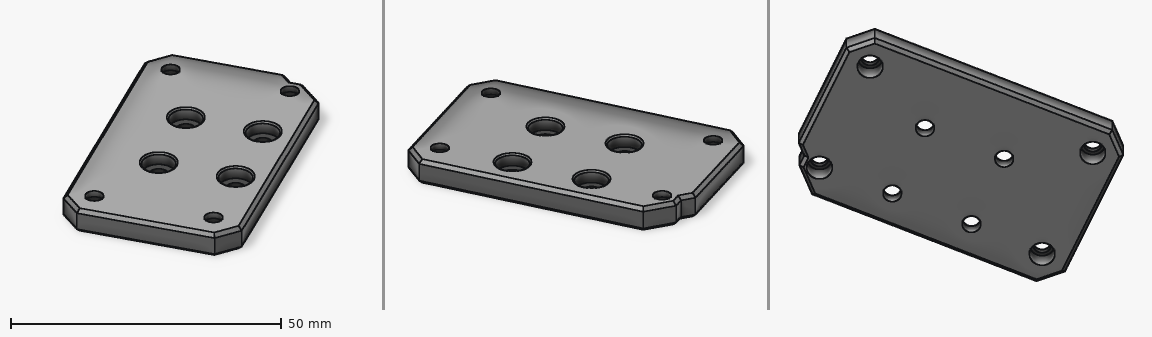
import cadquery as cq

width = 34.8
length = 56.0
thickness = 5.0
corner_cut = 4.0
edge_chamfer = 0.7

step_depth = 2.0
step_start_x = 8.5
step_end_x = 12.75

corner_hole_diameter = 3.4
corner_bore_diameter = 4.7
corner_bore_depth = 3.7
corner_hole_spacing_x = 23.25
corner_hole_spacing_y = 45.0
corner_hole_center_x = -0.2

screw_hole_diameter = 3.4
counterbore_diameter = 6.4
counterbore_depth = 2.5
counterbore_chamfer = 0.35
screw_spacing_x = 15.0
screw_spacing_y = 16.0
screw_center_x = 3.4

half_width = width / 2
half_length = length / 2


def make_plate():
    step_y = half_length - step_depth
    corner_end_y = step_y - (half_width - step_end_x)
    outline = [
        (-half_width + corner_cut, -half_length),
        (half_width - corner_cut, -half_length),
        (half_width, -half_length + corner_cut),
        (half_width, corner_end_y),
        (step_end_x, step_y),
        (step_start_x + step_depth, step_y),
        (step_start_x, half_length),
        (-half_width + corner_cut, half_length),
        (-half_width, half_length - corner_cut),
        (-half_width, -half_length + corner_cut),
    ]
    plate = cq.Workplane("XY").polyline(outline).close().extrude(thickness)
    return plate.faces("<Z or >Z").chamfer(edge_chamfer)


def cut_corner_holes(plate):
    pattern = (
        cq.Workplane("XY")
        .center(corner_hole_center_x, 0)
        .rarray(corner_hole_spacing_x, corner_hole_spacing_y, 2, 2)
    )
    holes = pattern.circle(corner_hole_diameter / 2).extrude(thickness)
    bores = pattern.circle(corner_bore_diameter / 2).extrude(corner_bore_depth)
    return plate.cut(holes).cut(bores)


def cut_screw_holes(plate):
    top_radius = counterbore_diameter / 2
    rim_radius = top_radius + counterbore_chamfer
    floor_z = thickness - counterbore_depth
    profile = [
        (0, 0),
        (screw_hole_diameter / 2, 0),
        (screw_hole_diameter / 2, floor_z),
        (top_radius, floor_z),
        (top_radius, thickness - counterbore_chamfer),
        (rim_radius, thickness),
        (0, thickness),
    ]
    cutter = cq.Workplane("XZ").polyline(profile).close().revolve(360, (0, 0), (0, 1))
    for side_x in (-1, 1):
        for side_y in (-1, 1):
            x = screw_center_x + side_x * screw_spacing_x / 2
            y = side_y * screw_spacing_y / 2
            plate = plate.cut(cutter.translate((x, y, 0)))
    return plate


result = cut_screw_holes(cut_corner_holes(make_plate()))